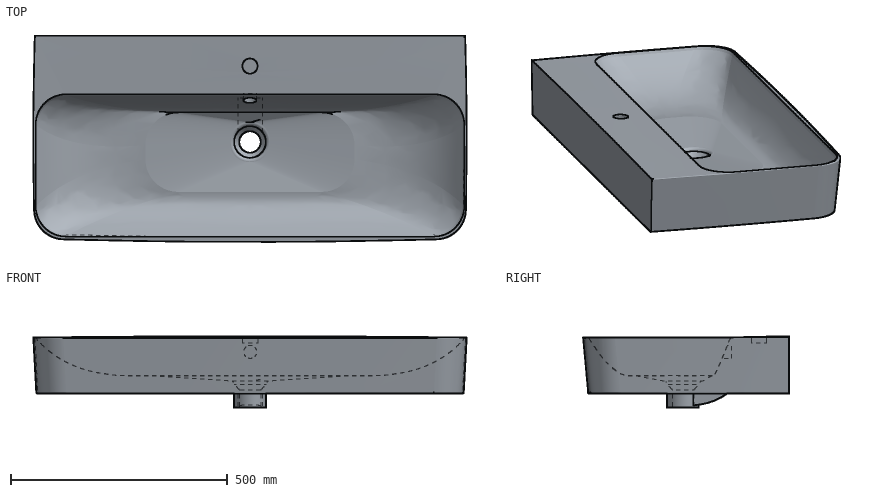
import cadquery as cq


width = 1000.0
depth = 476.0
total_height = 165.0

crown_rise = 3.0
rim_z = -crown_rise
body_bottom = -133.0
corner_radius = 70.0
lower_edge_radius = 4.0
rim_edge_radius = 2.0
side_bow = 3.5
front_bow = 8.0
side_draft = 7.0
front_draft = 12.0

deck_depth = 135.0
crown_root = 5.0

tap_hole_diameter = 35.0
tap_hole_y = -70.0
tap_hole_depth = 12.0

overflow_diameter = 30.0
overflow_drop = 33.0
overflow_end_y = -133.0
overflow_length = 22.0

side_rim_width = 6.0
front_rim_width = 5.0
mouth_corner_radius = 70.0
lip_drop = 7.0
lip_inset = 4.0
wall_foot_drop = 48.0
wall_foot_half_length = 440.0
wall_foot_back_y = -155.0
wall_foot_front_y = -430.0
wall_foot_corner_radius = 80.0
floor_drop = 87.0
floor_half_length = 241.0
floor_back_y = -177.0
floor_front_y = -360.0
floor_corner_radius = 75.0
bowl_depth = 100.0

drain_y = -245.0
drain_hole_diameter = 49.0
drain_seat_diameter = 89.0
drain_seat_depth = 21.0
drain_throat_diameter = 73.0
drain_lip_depth = 8.0
drain_lip_bulge = 2.0
drain_edge_half = 46.0
drain_edge_corner_radius = 42.0
drain_pipe_diameter = 74.0
drain_bottom = -total_height

channel_width = 56.0
channel_back_y = -143.0
channel_bottom = -158.0
channel_middle_y = -174.0
channel_middle_z = -150.0

overlap = 10.0


def body_outline(z, side_inset, front_inset):
    """Four-sided outline with a straight back and gently bowed sides and front."""
    half_middle = width / 2 - side_inset
    half_end = half_middle - side_bow
    front_middle = -depth + front_inset
    front_end = front_middle + front_bow
    return (
        cq.Workplane("XY", origin=(0, 0, z))
        .moveTo(half_end, 0)
        .lineTo(-half_end, 0)
        .threePointArc((-half_middle, front_end / 2), (-half_end, front_end))
        .threePointArc((0, front_middle), (half_end, front_end))
        .threePointArc((half_middle, front_end / 2), (half_end, 0))
        .close()
        .wire()
        .val()
    )


def make_body():
    """Tapered block with rounded front corners and softened lower and upper edges."""
    lower = body_outline(body_bottom, side_draft, front_draft)
    upper = body_outline(rim_z, 0, 0)
    body = cq.Workplane(cq.Solid.makeLoft([lower, upper], True))

    middle_height = (body_bottom + rim_z) / 2
    front_corners = cq.selectors.BoxSelector(
        (-width, -depth, middle_height - overlap),
        (width, -depth / 2, middle_height + overlap),
    )
    body = body.edges(front_corners).fillet(corner_radius)
    body = body.faces("<Z").edges("not(>Y)").fillet(lower_edge_radius)
    return body.faces(">Z").edges("not(>Y)").fillet(rim_edge_radius)


def deck_section(y, half_length, rise):
    """Upright slice of the deck whose top edge is arched by the given rise."""
    section = (
        cq.Workplane("XZ", origin=(0, y, 0))
        .moveTo(half_length, rim_z)
        .lineTo(half_length, rim_z - crown_root)
        .lineTo(-half_length, rim_z - crown_root)
        .lineTo(-half_length, rim_z)
    )
    if rise > 0:
        section = section.threePointArc((0, rim_z + rise), (half_length, rim_z))
    return section.close().wire().val()


def make_deck_crown():
    """Shallow crown, arched along the wall edge and fading to flat at the bowl."""
    back = deck_section(0, width / 2 - side_bow, crown_rise)
    front = deck_section(-deck_depth, width / 2 - mouth_corner_radius, 0)
    return cq.Workplane(cq.Solid.makeLoft([back, front], True))


def make_drain_pipe():
    return (
        cq.Workplane("XY", origin=(0, drain_y, drain_bottom))
        .circle(drain_pipe_diameter / 2)
        .extrude(body_bottom - drain_bottom + overlap)
    )


def make_overflow_channel():
    """Bulge under the body that curves down from the back to the drain pipe."""
    return (
        cq.Workplane("YZ", origin=(-channel_width / 2, 0, 0))
        .moveTo(channel_back_y, body_bottom)
        .threePointArc((channel_middle_y, channel_middle_z), (drain_y, channel_bottom))
        .lineTo(drain_y, body_bottom + overlap)
        .lineTo(channel_back_y, body_bottom + overlap)
        .close()
        .extrude(channel_width)
    )


def bowl_section(drop, half_length, back_y, front_y, radius):
    """Wire of a level rounded rectangle at the given drop below the rim."""
    outline = cq.Sketch().rect(2 * half_length, back_y - front_y).vertices().fillet(radius)
    middle_y = (back_y + front_y) / 2
    return (
        cq.Workplane("XY", origin=(0, middle_y, rim_z - drop))
        .placeSketch(outline)
        .extrude(-overlap)
        .faces(">Z")
        .wires()
        .val()
    )


def loft(sections, ruled):
    return cq.Workplane(cq.Solid.makeLoft(sections, ruled))


def make_bowl():
    """Sloped lip, curved wall down to the floor, then a shallow floor falling to the drain."""
    half_mouth = width / 2 - side_rim_width
    mouth_back = -deck_depth
    mouth_front = -depth + front_bow + front_rim_width

    top = bowl_section(-overlap, half_mouth, mouth_back, mouth_front, mouth_corner_radius)
    mouth = bowl_section(0, half_mouth, mouth_back, mouth_front, mouth_corner_radius)
    lip = bowl_section(
        lip_drop,
        half_mouth - lip_inset,
        mouth_back - lip_inset,
        mouth_front + lip_inset,
        mouth_corner_radius,
    )
    wall_foot = bowl_section(
        wall_foot_drop,
        wall_foot_half_length,
        wall_foot_back_y,
        wall_foot_front_y,
        wall_foot_corner_radius,
    )
    floor_edge = bowl_section(
        floor_drop, floor_half_length, floor_back_y, floor_front_y, floor_corner_radius
    )
    drain_edge = bowl_section(
        bowl_depth,
        drain_edge_half,
        drain_y + drain_edge_half,
        drain_y - drain_edge_half,
        drain_edge_corner_radius,
    )

    rim_and_lip = loft([top, mouth, lip], True)
    wall = loft([lip, wall_foot, floor_edge], False)
    floor = loft([floor_edge, drain_edge], True)
    return rim_and_lip.union(wall).union(floor)


def make_tap_hole():
    return (
        cq.Workplane("XY", origin=(0, tap_hole_y, 0))
        .circle(tap_hole_diameter / 2)
        .extrude(rim_z - tap_hole_depth)
    )


def make_overflow_hole():
    return (
        cq.Workplane("XZ", origin=(0, overflow_end_y, rim_z - overflow_drop))
        .circle(overflow_diameter / 2)
        .extrude(overflow_length)
    )


def make_drain_hole():
    """Through hole with a conical seat that has a rounded mouth."""
    hole_radius = drain_hole_diameter / 2
    seat_radius = drain_seat_diameter / 2
    throat_radius = drain_throat_diameter / 2
    seat_top = rim_z - bowl_depth
    return (
        cq.Workplane("XZ", origin=(0, drain_y, 0))
        .moveTo(0, seat_top + overlap)
        .lineTo(seat_radius, seat_top + overlap)
        .lineTo(seat_radius, seat_top)
        .sagittaArc((throat_radius, seat_top - drain_lip_depth), -drain_lip_bulge)
        .lineTo(hole_radius, seat_top - drain_seat_depth)
        .lineTo(hole_radius, drain_bottom)
        .lineTo(0, drain_bottom)
        .close()
        .revolve(360, (0, 0, 0), (0, 1, 0))
    )


result = (
    make_body()
    .union(make_deck_crown())
    .union(make_overflow_channel())
    .union(make_drain_pipe())
    .cut(make_bowl())
    .cut(make_tap_hole())
    .cut(make_overflow_hole())
    .cut(make_drain_hole())
)